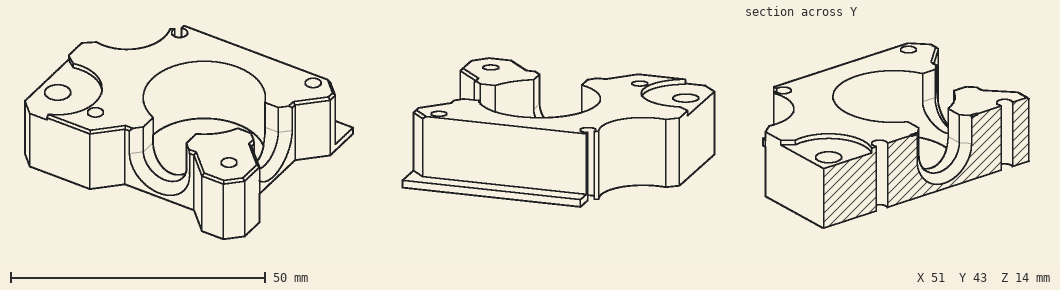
import cadquery as cq
import math


width = 51.0
height = 14.0
right = 21.0
left = right - width
front = -21.5
back = 17.95
corner_cut = 3.0
edge_chamfer = 0.5

notch_depth = 5.0
notch_half_width = 8.0
notch_mouth_half_width = notch_half_width + notch_depth
front_notch_floor = front + notch_depth
right_notch_floor = right - notch_depth

flange_left = -16.0
depth = 43.0
flange_back = front + depth
flange_thickness = 1.55

bore_diameter = 24.0
screw_diameter = 3.1
screw_spacing = 31.0
pivot_diameter = 5.1

pivot_x = -26.0
pivot_y = -12.75
clearance_radius = 8.7
clearance_start_x = -27.75
clearance_start_y = -pivot_y - math.sqrt(clearance_radius**2 - (clearance_start_x - pivot_x) ** 2)
clearance_left_y = 2.45
clearance_tip_y = 15.65
clearance_tip_x = pivot_x + math.sqrt(clearance_radius**2 - (clearance_tip_y + pivot_y) ** 2)
clearance_shoulder_y = 16.5
pocket_depth = 1.0
pocket_end_x = -23.0
pocket_end_y = pivot_y - math.sqrt(clearance_radius**2 - (pocket_end_x - pivot_x) ** 2)

channel_radius = 5.0
channel_flare = 2.0
channel_axis_z = 8.0


def clearance_midpoint(center_y):
    """Rightmost point of a clearance circle."""
    return (pivot_x + clearance_radius, center_y)


def make_body():
    body = (
        cq.Workplane("XY")
        .moveTo(left, front + corner_cut)
        .lineTo(left + corner_cut, front)
        .lineTo(-notch_mouth_half_width, front)
        .lineTo(-notch_half_width, front_notch_floor)
        .lineTo(notch_half_width, front_notch_floor)
        .lineTo(notch_mouth_half_width, front)
        .lineTo(right - corner_cut, front)
        .lineTo(right, front + corner_cut)
        .lineTo(right, -notch_mouth_half_width)
        .lineTo(right_notch_floor, -notch_half_width)
        .lineTo(right_notch_floor, notch_half_width)
        .lineTo(right, notch_mouth_half_width)
        .lineTo(right, back - corner_cut)
        .lineTo(right - corner_cut, back)
        .lineTo(flange_left, back)
        .lineTo(flange_left, clearance_shoulder_y)
        .lineTo(clearance_tip_x, clearance_tip_y)
        .threePointArc(clearance_midpoint(-pivot_y), (clearance_start_x, clearance_start_y))
        .lineTo(left, clearance_left_y)
        .close()
        .extrude(height)
    )
    margin = 0.5
    rim_top = height + margin
    front_rim = cq.selectors.BoxSelector(
        (left, front - margin, 0), (right, front_notch_floor + margin, rim_top)
    )
    right_rim = cq.selectors.BoxSelector(
        (right_notch_floor - margin, front, 0), (right + margin, back, rim_top)
    )
    return body.faces(">Z").edges(front_rim + right_rim).chamfer(edge_chamfer)


def make_flange():
    """Thin plate behind the body that also fills in its cut back-right corner."""
    return (
        cq.Workplane("XY")
        .moveTo(flange_left, back)
        .lineTo(right - corner_cut, back)
        .lineTo(right, back - corner_cut)
        .lineTo(right, flange_back)
        .lineTo(flange_left, flange_back)
        .close()
        .extrude(flange_thickness)
    )


def make_pivot_pocket():
    return (
        cq.Workplane("XY")
        .workplane(offset=height - pocket_depth)
        .moveTo(left, -clearance_left_y)
        .lineTo(clearance_start_x, -clearance_start_y)
        .threePointArc(clearance_midpoint(pivot_y), (pocket_end_x, pocket_end_y))
        .lineTo(pocket_end_x, front)
        .lineTo(left, front)
        .close()
        .extrude(pocket_depth)
    )


def channel_section(plane, radius):
    """U-shaped section, open at the top of the body."""
    return (
        plane.moveTo(-radius, height)
        .lineTo(-radius, channel_axis_z)
        .threePointArc((0, channel_axis_z - radius), (radius, channel_axis_z))
        .lineTo(radius, height)
        .close()
    )


def make_channel(floor):
    """Channel running along Y, flared at 45 degrees towards a notch floor."""
    mouth = cq.Workplane("XZ", origin=(0, floor, 0))
    straight = channel_section(mouth, channel_radius).extrude(floor)
    outer = channel_section(mouth, channel_radius + channel_flare)
    flare = channel_section(outer.workplane(offset=-channel_flare), channel_radius).loft(ruled=True)
    return straight.union(flare)


def make_holes():
    bore = cq.Workplane("XY").circle(bore_diameter / 2).extrude(height)
    screws = (
        cq.Workplane("XY")
        .rect(screw_spacing, screw_spacing, forConstruction=True)
        .vertices()
        .circle(screw_diameter / 2)
        .extrude(height)
    )
    pivot = cq.Workplane("XY").center(pivot_x, pivot_y).circle(pivot_diameter / 2).extrude(height)
    return bore.union(screws).union(pivot)


right_channel = make_channel(-right_notch_floor).rotate((0, 0, 0), (0, 0, 1), 90)

result = (
    make_body()
    .union(make_flange())
    .cut(make_pivot_pocket())
    .cut(make_channel(front_notch_floor))
    .cut(right_channel)
    .cut(make_holes())
)